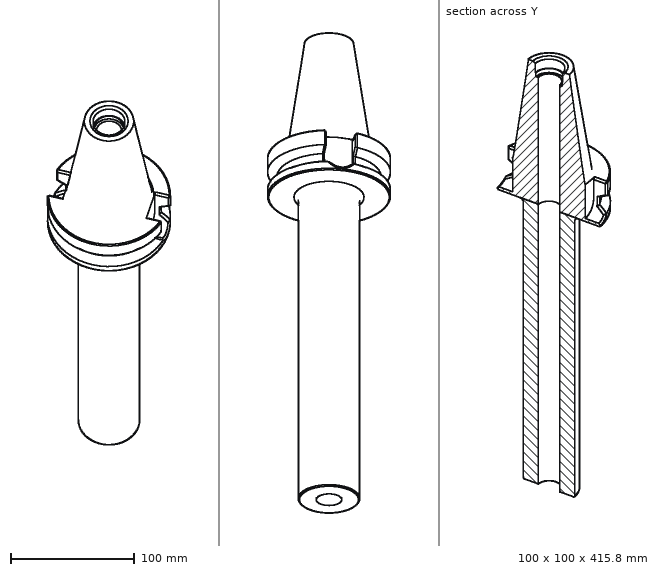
import cadquery as cq
import math


gauge_diameter = 69.85
taper_length = 101.8
taper_ratio = 7 / 24
taper_tip_radius = (gauge_diameter - taper_length * taper_ratio) / 2

flange_diameter = 100
flange_radius = flange_diameter / 2
flange_top_z = -1.5
flange_bottom_z = -38
flange_chamfer = 1
root_fillet = -flange_top_z
groove_floor_radius = 42.5
groove_upper_z = -15.3
groove_lower_z = -30.9
groove_flank_angle = 30
groove_flank_height = (flange_radius - groove_floor_radius) * math.tan(math.radians(groove_flank_angle))

slot_width = 24
slot_floor_x = 35.4
slot_bottom_z = -34.5
slot_chamfer = 1.7

shank_diameter = 50
shank_radius = shank_diameter / 2
shank_bottom_z = -314
shank_chamfer = 1
neck_fillet = 3.5

countersink_diameter = 31
countersink_angle = 120
pilot_diameter = 26
pilot_depth = 10.4
seat_diameter = 25
seat_depth = 14.3
bore_diameter = 20.75


def holder_blank():
    """Taper and grooved flange, turned about Z."""
    profile = (
        cq.Workplane("YZ")
        .moveTo(0, taper_length)
        .lineTo(taper_tip_radius, taper_length)
        .lineTo(gauge_diameter / 2, 0)
        .threePointArc(
            (gauge_diameter / 2 + root_fillet * (1 - math.sqrt(0.5)), -root_fillet * math.sqrt(0.5)),
            (gauge_diameter / 2 + root_fillet, flange_top_z),
        )
        .lineTo(flange_radius - flange_chamfer, flange_top_z)
        .lineTo(flange_radius, flange_top_z - flange_chamfer)
        .lineTo(flange_radius, groove_upper_z)
        .lineTo(groove_floor_radius, groove_upper_z - groove_flank_height)
        .lineTo(groove_floor_radius, groove_lower_z + groove_flank_height)
        .lineTo(flange_radius, groove_lower_z)
        .lineTo(flange_radius, flange_bottom_z + flange_chamfer)
        .lineTo(flange_radius - flange_chamfer, flange_bottom_z)
        .lineTo(0, flange_bottom_z)
        .close()
    )
    return profile.revolve(360, (0, 0), (0, 1))


def drive_slot(side):
    """Round-ended cutter for one drive slot; side is +1 for +X and -1 for -X."""
    half_width = slot_width / 2
    slot_depth = flange_radius - slot_floor_x
    round_centre_z = slot_bottom_z + half_width
    outline = (
        cq.Workplane("YZ", origin=(side * slot_floor_x, 0, 0))
        .moveTo(-half_width, 0)
        .lineTo(-half_width, round_centre_z)
        .threePointArc((0, slot_bottom_z), (half_width, round_centre_z))
        .lineTo(half_width, 0)
        .close()
    )
    return outline.extrude(side * slot_depth)


def chamfer_slot_rim(body, side):
    """Break every edge where the slot walls and round end meet the turned surfaces of the flange."""
    clearance = 0.01
    near_corner = (side * (slot_floor_x + clearance), -slot_width / 2 - clearance, flange_bottom_z + clearance)
    far_corner = (side * (flange_radius + clearance), slot_width / 2 + clearance, flange_top_z + clearance)
    rim = cq.selectors.BoxSelector(near_corner, far_corner)
    return body.edges(rim).chamfer(slot_chamfer)


def stepped_bore():
    """Cutter for the countersunk pilot and seat at the taper tip and the through bore below them."""
    countersink_radius = countersink_diameter / 2
    pilot_radius = pilot_diameter / 2
    seat_radius = seat_diameter / 2
    bore_radius = bore_diameter / 2
    countersink_depth = (countersink_radius - pilot_radius) / math.tan(math.radians(countersink_angle / 2))
    profile = (
        cq.Workplane("YZ")
        .moveTo(0, taper_length)
        .lineTo(countersink_radius, taper_length)
        .lineTo(pilot_radius, taper_length - countersink_depth)
        .lineTo(pilot_radius, taper_length - pilot_depth)
        .lineTo(seat_radius, taper_length - pilot_depth)
        .lineTo(seat_radius, taper_length - seat_depth)
        .lineTo(bore_radius, taper_length - seat_depth)
        .lineTo(bore_radius, shank_bottom_z)
        .lineTo(0, shank_bottom_z)
        .close()
    )
    return profile.revolve(360, (0, 0), (0, 1))


def shank_blank():
    """Round shank that flares into the underside of the flange."""
    fillet_end_z = flange_bottom_z - neck_fillet
    fillet_mid = neck_fillet * (1 - math.sqrt(0.5))
    profile = (
        cq.Workplane("YZ")
        .moveTo(0, flange_bottom_z)
        .lineTo(shank_radius + neck_fillet, flange_bottom_z)
        .threePointArc(
            (shank_radius + fillet_mid, flange_bottom_z - fillet_mid),
            (shank_radius, fillet_end_z),
        )
        .lineTo(shank_radius, shank_bottom_z + shank_chamfer)
        .lineTo(shank_radius - shank_chamfer, shank_bottom_z)
        .lineTo(0, shank_bottom_z)
        .close()
    )
    return profile.revolve(360, (0, 0), (0, 1))


holder = holder_blank()
for side in (1, -1):
    holder = holder.cut(drive_slot(side))
    holder = chamfer_slot_rim(holder, side)
holder = holder.cut(stepped_bore())

shank = shank_blank().cut(stepped_bore())

result = cq.Compound.makeCompound([holder.val(), shank.val()])